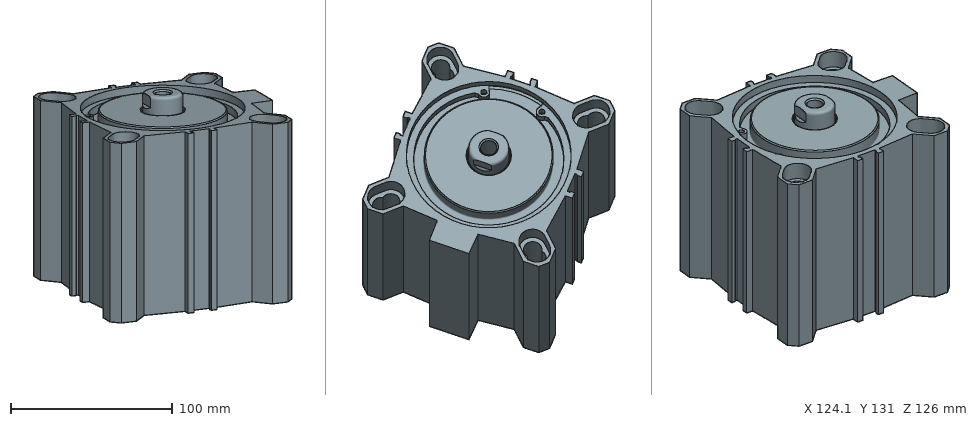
import cadquery as cq
import math

body_height = 116.0
ear_reach = 62.03
ear_chamfer = 5.2
ear_inner_end = 46.5
ear_root = 36.8
ear_root_height = ear_reach - (ear_inner_end - ear_root)
side_reach = 54.6
side_flat_half = 10.0

pocket_center = 49.3
bolt_hole_diameter = 11.4
bolt_hole_spacing = 6.2
counterbore_width = 17.0
counterbore_spacing = 6.5
counterbore_depth = 11.0

rail_reach = 59.2
rail_outer = side_flat_half
rail_stem_inner = 6.5
rail_lip_inner = 5.9
rail_lip_start = 56.6
rail_lip_slope = rail_stem_inner - rail_lip_inner

overall_length = 131.0
block_reach = overall_length - ear_reach
block_half_end = 13.1
block_half_root = 13.6
wall_overlap = 2.6

bore_diameter = 102.2
ring_top_depth = 5.0
ring_thickness = 5.0
ring_outer_diameter = 106.2
ring_inner_diameter = 93.1
ring_gap_half_angle = 20.5
lug_x = 19.3
lug_y = -42.2
lug_radius = 3.5
lug_hole_diameter = 3.5
lug_web_edge = -39.7

cover_thickness = 19.6
boss_diameter = 80.0
boss_top_depth = 1.0
boss_chamfer = 0.8
boss_fillet = 0.8

wiper_recess_diameter = 26.9
wiper_recess_rim_diameter = 28.0
wiper_recess_depth = 2.0
rod_hole_diameter = 25.5

rod_diameter = 25.0
rod_top = 126.0
nose_fillet = 2.0
flat_distance = 11.0
flat_length = 7.2
thread_hole_diameter = 10.1
thread_hole_rim_diameter = 12.0
thread_hole_depth = 19.6
drill_point_angle = 118.0

ring_top = body_height - ring_top_depth
ring_bottom = ring_top - ring_thickness
bore_floor = ring_bottom - cover_thickness
boss_top = body_height - boss_top_depth


def disc(diameter, bottom, height):
    """A cylinder on the main axis."""
    return cq.Workplane("XY").workplane(offset=bottom).circle(diameter / 2).extrude(height)


def quarter_outline():
    """Outline points from the +X side wall, round the +X+Y ear, to the +Y side wall."""
    lower_half = [
        (side_reach, side_flat_half),
        (ear_root_height, ear_root),
        (ear_reach, ear_inner_end),
        (ear_reach, ear_reach - ear_chamfer),
    ]
    upper_half = [(y, x) for x, y in reversed(lower_half)]
    return lower_half + upper_half


def turned(point, quarter_turns):
    """Turn a point about the axis by whole quarter turns."""
    x, y = point
    for _ in range(quarter_turns):
        x, y = -y, x
    return x, y


def rail(side):
    """One hooked sensor rail on the -Y wall, on the +X (side = 1) or -X (side = -1) half."""
    points = [
        (rail_outer, side_reach - wall_overlap),
        (rail_outer, rail_reach),
        (rail_lip_inner, rail_reach),
        (rail_lip_inner, rail_lip_start),
        (rail_stem_inner, rail_lip_start - rail_lip_slope),
        (rail_stem_inner, side_reach - wall_overlap),
    ]
    return cq.Workplane("XY").polyline([(side * x, -y) for x, y in points]).close().extrude(body_height)


def on_ear(shape, angle):
    """Turn a shape made on the +X axis to the ear at the given angle."""
    return shape.rotate((0, 0, 0), (0, 0, 1), angle)


def ear_counterbore():
    """The slotted counterbore of an ear, made on the +X axis."""
    return (
        cq.Workplane("XY")
        .workplane(offset=body_height - counterbore_depth)
        .center(pocket_center * math.sqrt(2), 0)
        .slot2D(counterbore_spacing + counterbore_width, counterbore_width)
        .extrude(counterbore_depth)
    )


def ear_bolt_hole(side):
    """The outer (side = 1) or inner (side = -1) bolt hole of an ear, made on the +X axis."""
    distance = pocket_center * math.sqrt(2) + side * bolt_hole_spacing / 2
    return cq.Workplane("XY").center(distance, 0).circle(bolt_hole_diameter / 2).extrude(body_height)


def make_housing():
    outline = [turned(p, turns) for turns in range(4) for p in quarter_outline()]
    housing = cq.Workplane("XY").polyline(outline).close().extrude(body_height)

    block_outline = [
        (-block_half_root, side_reach - wall_overlap),
        (-block_half_end, block_reach),
        (block_half_end, block_reach),
        (block_half_root, side_reach - wall_overlap),
    ]
    housing = housing.union(cq.Workplane("XY").polyline(block_outline).close().extrude(body_height))

    for wall_angle in (-90, 0, 90):
        for side in (-1, 1):
            housing = housing.union(rail(side).rotate((0, 0, 0), (0, 0, 1), wall_angle))

    for angle in (45, 135, 225, 315):
        housing = housing.cut(on_ear(ear_counterbore(), angle))
        for side in (-1, 1):
            housing = housing.cut(on_ear(ear_bolt_hole(side), angle))

    housing = housing.cut(disc(bore_diameter, bore_floor, body_height - bore_floor))
    return housing.cut(disc(ring_outer_diameter, ring_bottom, ring_thickness))


def make_retaining_ring():
    ring = disc(ring_outer_diameter, ring_bottom, ring_thickness)
    ring = ring.cut(disc(ring_inner_diameter, ring_bottom, ring_thickness))

    gap_depth = ring_outer_diameter
    gap_half_width = gap_depth * math.tan(math.radians(ring_gap_half_angle))
    gap = (
        cq.Workplane("XY")
        .workplane(offset=ring_bottom)
        .polyline([(0, 0), (gap_half_width, -gap_depth), (-gap_half_width, -gap_depth)])
        .close()
        .extrude(ring_thickness)
    )
    ring = ring.cut(gap)

    web_end = math.sqrt((ring_inner_diameter / 2) ** 2 - lug_web_edge**2)
    level = cq.Workplane("XY").workplane(offset=ring_bottom)
    for side in (-1, 1):
        lug = level.center(side * lug_x, lug_y).circle(lug_radius).extrude(ring_thickness)
        web_outline = [
            (side * lug_x, lug_web_edge),
            (side * web_end, lug_web_edge),
            (side * web_end, lug_y),
            (side * lug_x, lug_y),
        ]
        web = level.polyline(web_outline).close().extrude(ring_thickness)
        hole = level.center(side * lug_x, lug_y).circle(lug_hole_diameter / 2).extrude(ring_thickness)
        ring = ring.union(lug).union(web).cut(hole)
    return ring


def make_cover():
    flange_radius = bore_diameter / 2
    boss_radius = boss_diameter / 2
    hole_radius = rod_hole_diameter / 2
    recess_radius = wiper_recess_diameter / 2
    rim_radius = wiper_recess_rim_diameter / 2
    rim_chamfer = rim_radius - recess_radius
    recess_bottom = boss_top - wiper_recess_depth
    return (
        cq.Workplane("XZ")
        .moveTo(hole_radius, bore_floor)
        .lineTo(flange_radius, bore_floor)
        .lineTo(flange_radius, ring_bottom)
        .lineTo(boss_radius + boss_fillet, ring_bottom)
        .radiusArc((boss_radius, ring_bottom + boss_fillet), boss_fillet)
        .lineTo(boss_radius, boss_top - boss_chamfer)
        .lineTo(boss_radius - boss_chamfer, boss_top)
        .lineTo(rim_radius, boss_top)
        .lineTo(recess_radius, boss_top - rim_chamfer)
        .lineTo(recess_radius, recess_bottom)
        .lineTo(hole_radius, recess_bottom)
        .close()
        .revolve(360, (0, 0, 0), (0, 1, 0))
    )


def make_rod():
    radius = rod_diameter / 2
    rod = disc(rod_diameter, bore_floor, rod_top - bore_floor)
    rod = rod.faces(">Z").edges().fillet(nose_fillet)

    flat_bottom = rod_top - flat_length
    run_out = 2 * (radius - flat_distance)
    for side in (-1, 1):
        outline = [
            (side * flat_distance, rod_top),
            (side * flat_distance, flat_bottom),
            (side * (flat_distance + run_out), flat_bottom - run_out),
            (side * (flat_distance + run_out), rod_top),
        ]
        rod = rod.cut(cq.Workplane("YZ").polyline(outline).close().extrude(radius, both=True))

    hole_radius = thread_hole_diameter / 2
    mouth_radius = thread_hole_rim_diameter / 2
    mouth_depth = mouth_radius - hole_radius
    point_depth = hole_radius / math.tan(math.radians(drill_point_angle / 2))
    hole_bottom = rod_top - thread_hole_depth
    hole = (
        cq.Workplane("XZ")
        .polyline([
            (0, rod_top),
            (mouth_radius, rod_top),
            (hole_radius, rod_top - mouth_depth),
            (hole_radius, hole_bottom),
            (0, hole_bottom - point_depth),
        ])
        .close()
        .revolve(360, (0, 0, 0), (0, 1, 0))
    )
    return rod.cut(hole)


housing = make_housing()
retaining_ring = make_retaining_ring()
cover = make_cover()
rod = make_rod()

result = cq.Compound.makeCompound([housing.val(), retaining_ring.val(), cover.val(), rod.val()])